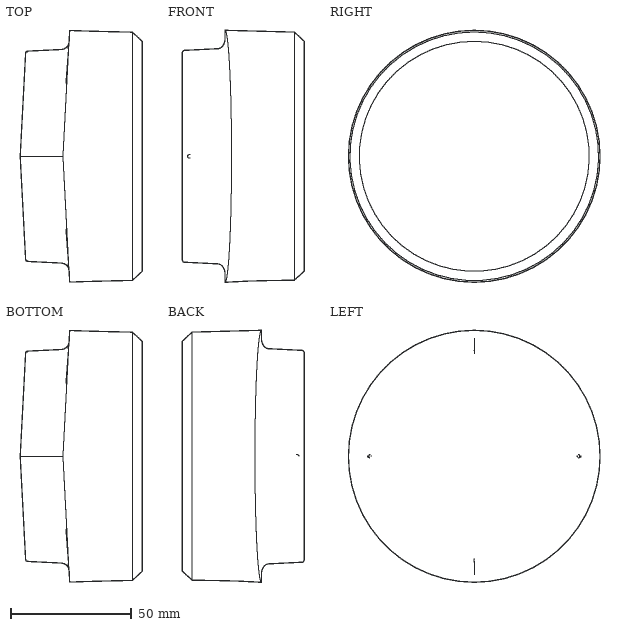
import cadquery as cq
import math

total_length = 50.8
face_radius = 52.4
body_draft = 1.5
chamfer_length = 4.2
chamfer_depth = 3.9

face_tilt = 3.0
body_ridge_x = 17.8

boss_half_diagonal = 44.0
boss_draft = 2.0
boss_root_x = 23.0
side_corner_radius = 1.0
boss_rim_radius = 1.0
boss_foot_radius = 3.1

clearance = 10.5

ridge_clearance = 1.0
position_tolerance = 0.01
steepest_face_normal = -0.9


def ridged_prism(ridge_x):
    """Prism along Z whose left side is a shallow ridge at ridge_x."""
    half_width = face_radius + clearance
    edge_x = ridge_x + half_width * math.tan(math.radians(face_tilt))
    end_x = total_length + clearance
    outline = [
        (ridge_x, 0),
        (edge_x, -half_width),
        (end_x, -half_width),
        (end_x, half_width),
        (edge_x, half_width),
    ]
    return cq.Workplane("XY").polyline(outline).close().extrude(half_width, both=True)


def make_body():
    """Tapered round body with a chamfered end and a ridged face."""
    chamfer_x = total_length - chamfer_length
    draft_slope = math.tan(math.radians(body_draft))
    rim_radius = face_radius - (chamfer_x - body_ridge_x) * draft_slope
    profile = [
        (body_ridge_x, 0),
        (body_ridge_x, face_radius),
        (chamfer_x, rim_radius),
        (total_length, rim_radius - chamfer_depth),
        (total_length, 0),
    ]
    blank = cq.Workplane("XY").polyline(profile).close().revolve(360, (0, 0, 0), (1, 0, 0))
    return blank.intersect(ridged_prism(body_ridge_x))


def make_boss():
    """Drafted square boss with a ridged face and rounded side corners."""
    front_side = boss_half_diagonal * math.sqrt(2)
    root_side = front_side + 2 * boss_root_x * math.tan(math.radians(boss_draft))
    blank = (
        cq.Workplane("YZ")
        .transformed(rotate=(0, 0, 45))
        .rect(front_side, front_side)
        .workplane(offset=boss_root_x)
        .rect(root_side, root_side)
        .loft(combine=True)
    )
    side_corners = cq.selectors.BoxSelector(
        (0, -face_radius, -ridge_clearance), (boss_root_x, face_radius, ridge_clearance)
    )
    blank = blank.edges(side_corners).fillet(side_corner_radius)
    boss = blank.intersect(ridged_prism(0))

    tilted_faces = boss.faces().filter(
        lambda face: face.normalAt().x < steepest_face_normal
    )
    rim = tilted_faces.edges().filter(lambda edge: abs(edge.Center().y) > ridge_clearance)
    return rim.fillet(boss_rim_radius)


def round_foot(part):
    """Fillet the junction between the boss and the body face."""
    tilt_slope = math.tan(math.radians(face_tilt))

    def is_on_foot(edge):
        middle = edge.positionAt(0.5)
        face_x = body_ridge_x + middle.y * tilt_slope
        inside_rim = math.hypot(middle.y, middle.z) < face_radius - boss_foot_radius
        return abs(middle.x - face_x) < position_tolerance and inside_rim and middle.y > ridge_clearance

    return part.edges().filter(is_on_foot).fillet(boss_foot_radius)


def half_space():
    """Box holding everything on the +Y side of the ridge plane."""
    reach = face_radius + clearance
    return cq.Workplane("XY").box(
        2 * total_length, reach, 2 * reach, centered=(True, False, True)
    )


half = round_foot(make_body().union(make_boss()).intersect(half_space()))
result = half.union(half.mirror("XZ"))